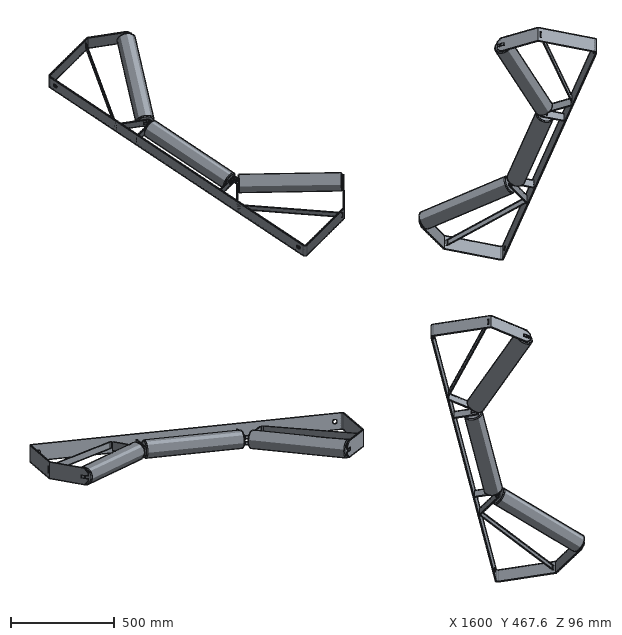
import cadquery as cq
import math

frame_length = 1600.0
frame_height = 83.0
strip = 6.0
side_height = 298.0
wing_angle = 40.0
wing_length = 216.0
wing_chamfer = 20.0
corner_radius = 13.0
mount_hole_diameter = 22.0
mount_hole_inset = 45.0

roller_diameter = 90.0
roller_length = 500.0
roller_chamfer = 5.0
roller_depth = 50.0
roller_tilt = 0.7
middle_roller_y = 100.0
side_roller_x = 290.0
side_roller_y = 115.0
shaft_diameter = 20.0
shaft_flat = 15.0
shaft_stub = 10.0
slot_reach = 58.0

bracket_x = 253.0
bracket_top = 126.0
bracket_height = 45.0
bracket_corner_x = 277.0

brace_foot_x = 390.0
brace_wall_y = 282.0
brace_height = 34.0
brace_thickness = 5.0

half_length = frame_length / 2
mid_height = -frame_height / 2
slope = math.radians(wing_angle)
wing_x, wing_y = math.sin(slope), math.cos(slope)
roll_x, roll_y = math.cos(slope), -math.sin(slope)


def mirrored(body):
    return body.mirror("YZ")


def centred_strip(profile, height, centre_z):
    """Extrude a plan outline along Z, half above and half below centre_z."""
    start = cq.Workplane("XY", origin=(0, 0, centre_z - height / 2))
    return start.polyline(profile).close().extrude(height)


def cylinder_along_x(diameter, length):
    start = cq.Workplane("YZ", origin=(-length / 2, 0, 0))
    return start.circle(diameter / 2).extrude(length)


def make_roller():
    """Roller along X, centred on the origin, with shaft ends flat above and below."""
    drum = cylinder_along_x(roller_diameter, roller_length)
    drum = drum.faces("<X or >X").chamfer(roller_chamfer)
    shaft_length = roller_length + 2 * shaft_stub
    shaft = cylinder_along_x(shaft_diameter, shaft_length)
    flats = cq.Workplane("XY").box(shaft_length, shaft_diameter, shaft_flat)
    return drum.union(shaft.intersect(flats))


def make_slots():
    """Shaft slots at both roller ends, open towards +Y."""
    cut_depth = 3 * shaft_stub
    slot = cq.Workplane("XY").box(cut_depth, slot_reach, shaft_flat)
    slot = slot.translate((0, (slot_reach - shaft_diameter) / 2, 0))
    offset = (roller_length + shaft_stub) / 2
    return slot.translate((-offset, 0, 0)).union(slot.translate((offset, 0, 0)))


def place_middle(body):
    return body.translate((0, middle_roller_y, -roller_depth))


def place_left(body):
    """Hang a roller-aligned body on the left slope by its inner end."""
    body = body.translate((-roller_length / 2, 0, 0))
    body = body.rotate((0, 0, 0), (0, 1, 0), roller_tilt)
    body = body.rotate((0, 0, 0), (0, 0, 1), -wing_angle)
    return body.translate((-side_roller_x, side_roller_y, -roller_depth))


def make_frame():
    tip_x = -half_length + wing_length * wing_x
    tip_y = side_height + wing_length * wing_y
    bend_shift = strip * math.tan(slope / 2)
    left = [
        (-half_length, 0),
        (-half_length, side_height),
        (tip_x, tip_y),
        (tip_x + strip * roll_x, tip_y + strip * roll_y),
        (-half_length + strip, side_height - bend_shift),
        (-half_length + strip, strip),
    ]
    right = [(-x, y) for x, y in reversed(left)]
    frame = cq.Workplane("XY").polyline(left + right).close().extrude(-frame_height)

    for sign in (-1, 1):
        outer = cq.selectors.NearestToPointSelector((sign * half_length, 0, mid_height))
        frame = frame.edges(outer).fillet(corner_radius)
        inner_point = (sign * (half_length - strip), strip, mid_height)
        inner = cq.selectors.NearestToPointSelector(inner_point)
        frame = frame.edges(inner).fillet(corner_radius - strip)

    for sign in (-1, 1):
        for z in (0, -frame_height):
            corner = (sign * (tip_x + strip * roll_x / 2), tip_y + strip * roll_y / 2, z)
            frame = frame.edges(cq.selectors.NearestToPointSelector(corner)).chamfer(wing_chamfer)

    hole_x = half_length - mount_hole_inset
    holes = cq.Workplane("XZ").pushPoints([(-hole_x, mid_height), (hole_x, mid_height)])
    return frame.cut(holes.circle(mount_hole_diameter / 2).extrude(-strip))


def make_left_bracket():
    """Bent strip: upright leg, short shelf, and a sloped leg square to the side roller."""
    bend_shift = strip * math.tan((math.pi / 2 - slope) / 2)
    drop = bracket_top - strip
    foot_x = bracket_corner_x + drop * math.tan(slope)
    inner_corner_x = bracket_corner_x - bend_shift
    inner_foot_x = inner_corner_x + (drop - strip) * math.tan(slope)
    profile = [
        (-bracket_x, strip),
        (-bracket_x, bracket_top),
        (-bracket_corner_x, bracket_top),
        (-foot_x, strip),
        (-inner_foot_x, strip),
        (-inner_corner_x, drop),
        (-bracket_x - strip, drop),
        (-bracket_x - strip, strip),
    ]
    return centred_strip(profile, bracket_height, -roller_depth)


def make_left_brace():
    """Flat bar from the base through the side wall, flush with its outer face."""
    run = half_length - brace_foot_x
    rise = brace_wall_y - strip
    width_y = brace_thickness * math.hypot(run, rise) / run
    width_x = brace_thickness * math.hypot(run, rise) / rise
    profile = [
        (-brace_foot_x, strip),
        (-half_length, brace_wall_y),
        (-half_length, brace_wall_y + width_y),
        (-brace_foot_x + width_x, strip),
    ]
    return centred_strip(profile, brace_height, mid_height)


middle_roller = place_middle(make_roller())
left_roller = place_left(make_roller())
side_rollers = [left_roller, mirrored(left_roller)]

left_brace = make_left_brace()
braces = [left_brace, mirrored(left_brace)]

side_slots = place_left(make_slots())
left_bracket = make_left_bracket().cut(side_slots).cut(place_middle(make_slots()))
brackets = [left_bracket, mirrored(left_bracket)]

frame = make_frame().cut(side_slots).cut(mirrored(side_slots))
for brace in braces:
    frame = frame.cut(brace)

bodies = [frame, middle_roller, *side_rollers, *brackets, *braces]
result = cq.Compound.makeCompound([body.solids().val() for body in bodies])